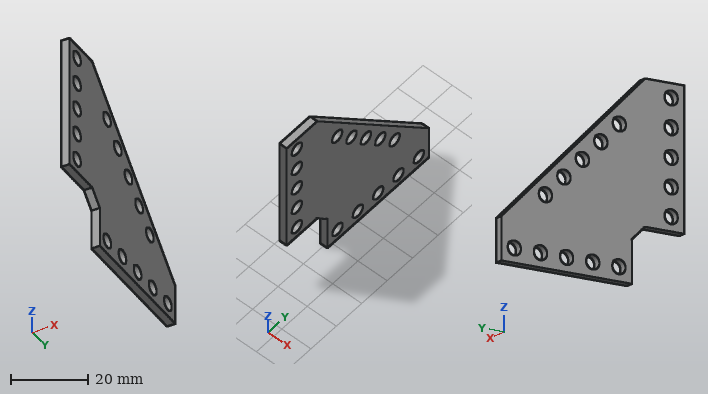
import cadquery as cq
import math

thickness = 2.5
hole_pitch = 8.0
holes_per_row = 5
hole_diameter = 4.0
edge_margin = 4.0
corner_notch = 16.0
notch_chamfer = 4.0
end_width = 12.0

leg_length = holes_per_row * hole_pitch
plate_size = corner_notch + leg_length
chamfer_start = corner_notch - notch_chamfer
first_hole = corner_notch + edge_margin
row_half_length = (holes_per_row - 1) * hole_pitch / 2
slope_component = math.cos(math.radians(45))


def make_plate():
    """Triangular corner plate, symmetric about the line Y = Z."""
    outline = [
        (corner_notch, 0),
        (plate_size, 0),
        (plate_size, end_width),
        (end_width, plate_size),
        (0, plate_size),
        (0, corner_notch),
        (chamfer_start, corner_notch),
        (corner_notch, chamfer_start),
    ]
    return cq.Workplane("YZ").polyline(outline).close().extrude(thickness)


def hole_centres():
    """Centres (Y, Z) of the two leg rows and the row along the sloped edge."""
    slope_middle = (plate_size + end_width) / 2 - edge_margin * slope_component
    centres = []
    for index in range(holes_per_row):
        along = index * hole_pitch
        slope_shift = (along - row_half_length) * slope_component
        centres.append((first_hole + along, edge_margin))
        centres.append((edge_margin, first_hole + along))
        centres.append((slope_middle + slope_shift, slope_middle - slope_shift))
    return centres


def make_hole_cutters():
    """Cylinders that pass through the full plate thickness."""
    centres = cq.Workplane("YZ").pushPoints(hole_centres())
    return centres.circle(hole_diameter / 2).extrude(thickness)


result = make_plate().cut(make_hole_cutters())